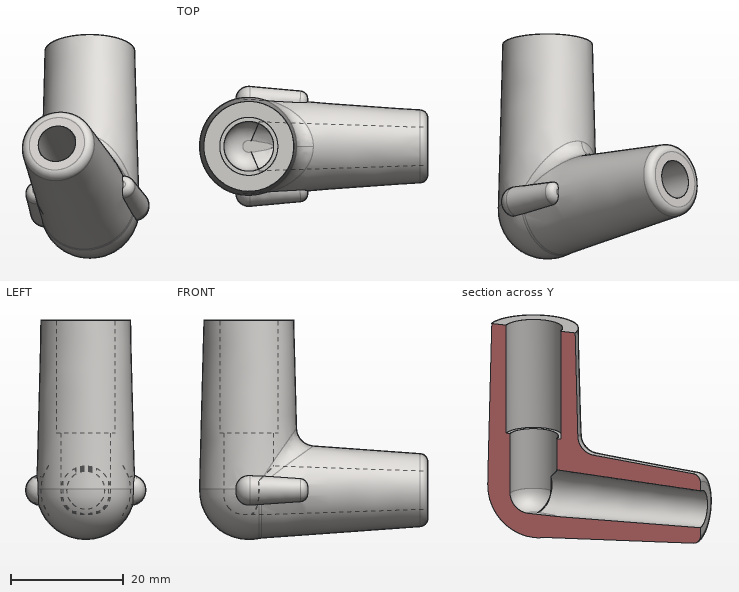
import cadquery as cq
import math

BALL_RADIUS = 8.75

UPRIGHT_TOP_Z = 30.12
UPRIGHT_TAPER = math.radians(1.5)

SIDE_END_X = 31.74
SIDE_TAPER = math.radians(4.1)
SIDE_ROOT_RADIUS = 8.66
SIDE_END_ROUNDING = 1.5

INNER_CORNER_FILLET = 3.2

PEG_NOSE_X = -2.32
PEG_END_X = 10.45
PEG_NOSE_RADIUS = 2.85
PEG_CENTRE_Y = 7.98
PEG_TAPER = math.radians(4.0)
PEG_TILT_DEGREES = 1.2
PEG_NOSE_ROUNDING = 2.35
PEG_END_ROUNDING = 1.45

SOCKET_RADIUS = 5.15
SOCKET_DEPTH = 20.0
WELL_RADIUS = 4.41
WELL_FLOOR_Z = -4.28
WELL_FLOOR_FILLET = 3.35

SIDE_BORE_ROOT_RADIUS = 4.425
SIDE_BORE_TAPER = math.radians(1.9)
SIDE_BORE_HALF_ANGLE = 67


def cone_along(axis, start, start_radius, end, taper):
    """Solid cone on the given axis ("X" or "Z"), narrowing by the taper angle."""
    length = end - start
    end_radius = start_radius - length * math.tan(taper)
    direction = cq.Vector(1, 0, 0) if axis == "X" else cq.Vector(0, 0, 1)
    cone = cq.Solid.makeCone(start_radius, end_radius, length, direction * start, direction)
    return cq.Workplane(obj=cone)


def make_upright():
    """Ball at the corner with the upright arm leaving it tangentially."""
    start = BALL_RADIUS * math.sin(UPRIGHT_TAPER)
    start_radius = BALL_RADIUS * math.cos(UPRIGHT_TAPER)
    arm = cone_along("Z", start, start_radius, UPRIGHT_TOP_Z, UPRIGHT_TAPER)
    return cq.Workplane().sphere(BALL_RADIUS).union(arm)


def make_side_arm():
    arm = cone_along("X", 0, SIDE_ROOT_RADIUS, SIDE_END_X, SIDE_TAPER)
    return arm.faces(">X").edges().fillet(SIDE_END_ROUNDING)


def make_body():
    """Both arms, with a fillet along the curved seam in the inner corner."""
    arms = make_upright().union(make_side_arm())
    return arms.edges("%BSPLINE").fillet(INNER_CORNER_FILLET)


def make_peg(side):
    """Peg on the +Y (side = 1) or -Y (side = -1) flank, leaning slightly inward."""
    peg = cone_along("X", PEG_NOSE_X, PEG_NOSE_RADIUS, PEG_END_X, PEG_TAPER)
    peg = peg.faces("<X").edges().fillet(PEG_NOSE_ROUNDING)
    peg = peg.faces(">X").edges().fillet(PEG_END_ROUNDING)
    peg = peg.rotate((0, 0, 0), (0, 0, 1), -side * PEG_TILT_DEGREES)
    return peg.translate((0, side * PEG_CENTRE_Y, 0))


def make_upright_bore():
    """Socket and well down to the corner, then the part-turn rounded well bottom."""
    well = cq.Workplane().circle(WELL_RADIUS).extrude(UPRIGHT_TOP_Z)
    socket = cq.Workplane().workplane(offset=UPRIGHT_TOP_Z).circle(SOCKET_RADIUS).extrude(-SOCKET_DEPTH)
    fillet_top_z = WELL_FLOOR_Z + WELL_FLOOR_FILLET
    bottom = (
        cq.Workplane("XZ")
        .lineTo(WELL_RADIUS, 0)
        .lineTo(WELL_RADIUS, fillet_top_z)
        .radiusArc((WELL_RADIUS - WELL_FLOOR_FILLET, WELL_FLOOR_Z), WELL_FLOOR_FILLET)
        .lineTo(0, WELL_FLOOR_Z)
        .close()
        .revolve(360 - 2 * SIDE_BORE_HALF_ANGLE, (0, 0), (0, 1))
        .rotate((0, 0, 0), (0, 0, 1), SIDE_BORE_HALF_ANGLE)
    )
    return well.union(socket).union(bottom)


def make_side_sector():
    """Wedge around +X that bounds the side bore next to the part-turn well bottom."""
    half_width = SIDE_END_X * math.tan(math.radians(SIDE_BORE_HALF_ANGLE))
    outline = [(0, 0), (SIDE_END_X, -half_width), (SIDE_END_X, half_width)]
    return cq.Workplane().polyline(outline).close().extrude(SIDE_BORE_ROOT_RADIUS, both=True)


def make_side_bore():
    bore = cone_along("X", 0, SIDE_BORE_ROOT_RADIUS, SIDE_END_X, SIDE_BORE_TAPER)
    width = 2 * SIDE_BORE_ROOT_RADIUS
    height = SIDE_BORE_ROOT_RADIUS - WELL_FLOOR_Z
    above_floor = cq.Workplane().box(SIDE_END_X, width, height, centered=(False, True, False))
    above_floor = above_floor.translate((0, 0, WELL_FLOOR_Z))
    return bore.intersect(above_floor).intersect(make_side_sector())


result = make_body()
for flank in (1, -1):
    result = result.union(make_peg(flank))
result = result.cut(make_upright_bore()).cut(make_side_bore())